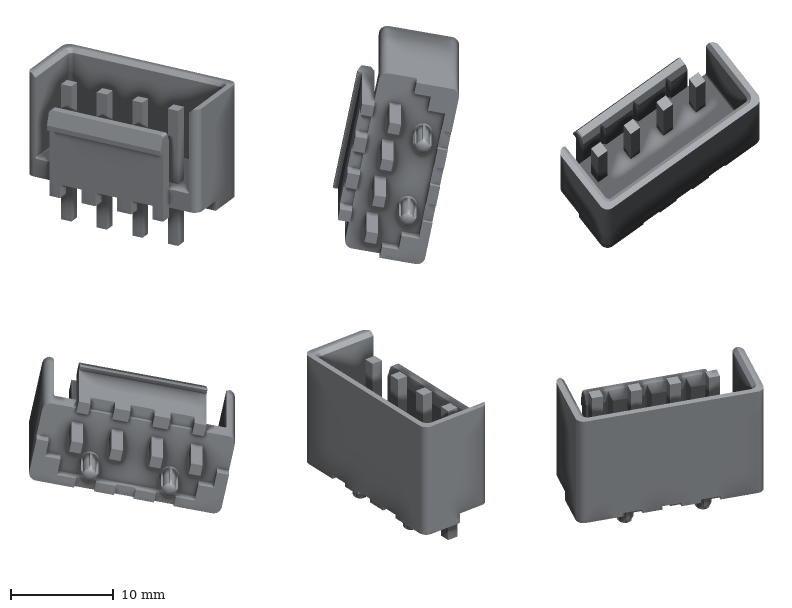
import cadquery as cq
import math


pin_count = 4
pitch = 3.96
pin_size = 1.14
pin_top = 10.8
pin_bottom = -3.6

total_depth = 9.58
body_width = 19.09
body_depth = 7.91
body_top = 12.02
body_bottom = 1.05
back_y = 5.86
front_y = back_y - body_depth
outer_radius = 0.83

side_wall = 1.0
back_wall = 1.0
floor_z = 3.0
inner_radius = 0.4
mouth_chamfer = 0.4
floor_chamfer = 0.12
cavity_width = body_width - 2 * side_wall
cavity_back_y = back_y - back_wall

foot_depth = 4.35
rear_bar_depth = back_wall
outer_pocket_width = 16.7
inner_pocket_width = 13.66
outer_pocket_back_y = back_y - 2.7
vent_width = 1.95
vent_height = 0.4

latch_width = 12.66
latch_top = 9.17
latch_thickness = 1.2
latch_lean = 0.4
latch_lean_start = 8.14
hook_overhang = total_depth - body_depth - latch_thickness
hook_slope_bottom = 7.67
hook_inner_z = 7.28
hook_tip_z = 7.18
latch_corner_radius = 0.27
latch_front_y = front_y - latch_thickness
groove_depth = 0.38
groove_bottom = floor_z + floor_chamfer
slot_width = 2.4
slot_height = 1.44

peg_y = back_y - 2.67
peg_radius = 0.87
peg_core_radius = 0.66
peg_rib_width = 0.27
peg_bottom = -2.5
peg_tip_radius = 0.73
peg_flare = 0.1

gap_positions = [(i - (pin_count - 2) / 2) * pitch for i in range(pin_count - 1)]
pin_positions = [(i - (pin_count - 1) / 2) * pitch for i in range(pin_count)]
peg_positions = [gap_positions[0], gap_positions[-1]]


def box(width, y_min, y_max, z_min, z_max, x_center=0.0):
    """Axis-aligned block centred on x_center."""
    return cq.Workplane("XY").box(width, y_max - y_min, z_max - z_min).translate(
        (x_center, (y_min + y_max) / 2, (z_min + z_max) / 2)
    )


def cavity_layer(growth_bottom, growth_top, z_min, z_max):
    """Layer of the cavity whose walls lie outside the nominal ones by the given growths."""

    def outline(growth, z):
        half_width = cavity_width / 2 + growth
        radius = inner_radius + growth
        y_back = cavity_back_y + growth
        y_open = front_y - outer_radius
        diagonal = radius * (1 - math.sqrt(0.5))
        return (
            cq.Workplane("XY", origin=(0, 0, z))
            .moveTo(-half_width, y_open)
            .lineTo(half_width, y_open)
            .lineTo(half_width, y_back - radius)
            .threePointArc((half_width - diagonal, y_back - diagonal), (half_width - radius, y_back))
            .lineTo(-half_width + radius, y_back)
            .threePointArc((-half_width + diagonal, y_back - diagonal), (-half_width, y_back - radius))
            .close()
            .val()
        )

    wires = [outline(growth_bottom, z_min), outline(growth_top, z_max)]
    return cq.Workplane(cq.Solid.makeLoft(wires, True))


def make_cavity():
    chamfer_top = floor_z + floor_chamfer
    chamfer_start = body_top - mouth_chamfer
    return (
        cavity_layer(-floor_chamfer, 0, floor_z, chamfer_top)
        .union(cavity_layer(0, 0, chamfer_top, chamfer_start))
        .union(cavity_layer(0, mouth_chamfer, chamfer_start, body_top))
    )


def make_housing():
    foot_front_y = back_y - foot_depth
    rear_bar_y = back_y - rear_bar_depth
    housing = box(body_width, front_y, back_y, 0, body_top).edges("|Z").fillet(outer_radius)
    housing = housing.cut(box(body_width, front_y, foot_front_y, 0, body_bottom))
    housing = housing.cut(box(outer_pocket_width, foot_front_y, outer_pocket_back_y, 0, body_bottom))
    housing = housing.cut(box(inner_pocket_width, outer_pocket_back_y, rear_bar_y, 0, body_bottom))
    for x in gap_positions:
        housing = housing.cut(box(vent_width, rear_bar_y, back_y, 0, vent_height, x))
    return housing.cut(make_cavity())


def make_latch():
    profile = [
        (front_y, 0),
        (front_y, latch_lean_start),
        (front_y - latch_lean, latch_top),
        (latch_front_y, latch_top),
        (latch_front_y - hook_overhang, hook_slope_bottom),
        (latch_front_y - hook_overhang, hook_tip_z),
        (latch_front_y, hook_inner_z),
        (latch_front_y, 0),
    ]
    latch = (
        cq.Workplane("YZ")
        .polyline(profile)
        .close()
        .extrude(latch_width / 2, both=True)
    )
    latch = latch.intersect(
        box(latch_width, latch_front_y - hook_overhang, front_y, 0, latch_top)
        .edges("|Y and >Z")
        .fillet(latch_corner_radius)
    )
    for x in gap_positions:
        latch = latch.cut(box(slot_width, latch_front_y, front_y, 0, slot_height, x))
        groove = (
            cq.Workplane("XY", origin=(x, front_y, groove_bottom))
            .polyline([(-groove_depth, 0), (0, -groove_depth), (groove_depth, 0)])
            .close()
            .extrude(latch_top - groove_bottom)
        )
        latch = latch.cut(groove)
    return latch


def make_peg(x):
    """Cross-ribbed peg with a rounded tip, trimmed from a round envelope."""
    tip_flat = peg_radius - peg_tip_radius
    tip_start = peg_bottom + peg_tip_radius
    arc_reach = peg_tip_radius * math.sqrt(0.5)
    envelope = (
        cq.Workplane("XZ")
        .moveTo(0, peg_bottom)
        .lineTo(tip_flat, peg_bottom)
        .threePointArc((tip_flat + arc_reach, tip_start - arc_reach), (peg_radius, tip_start))
        .lineTo(peg_radius, body_bottom)
        .lineTo(0, body_bottom)
        .close()
        .revolve(360, (0, 0, 0), (0, 1, 0))
    )
    rib = box(2 * peg_radius, -peg_rib_width / 2, peg_rib_width / 2, peg_bottom, body_bottom)
    core = cq.Workplane("XY", origin=(0, 0, peg_bottom)).circle(peg_core_radius)
    section = core.extrude(body_bottom - peg_bottom).union(rib)
    section = section.union(rib.rotate((0, 0, 0), (0, 0, 1), 90))
    flare = cq.Workplane(
        cq.Solid.makeCone(
            peg_radius, peg_radius + peg_flare, peg_flare, cq.Vector(0, 0, body_bottom - peg_flare)
        )
    )
    return envelope.intersect(section).union(flare).translate((x, peg_y, 0))


def make_pin(x):
    return box(pin_size, -pin_size / 2, pin_size / 2, pin_bottom, pin_top, x)


result = make_housing().union(make_latch())
for peg_x in peg_positions:
    result = result.union(make_peg(peg_x))
for pin_x in pin_positions:
    result = result.union(make_pin(pin_x))